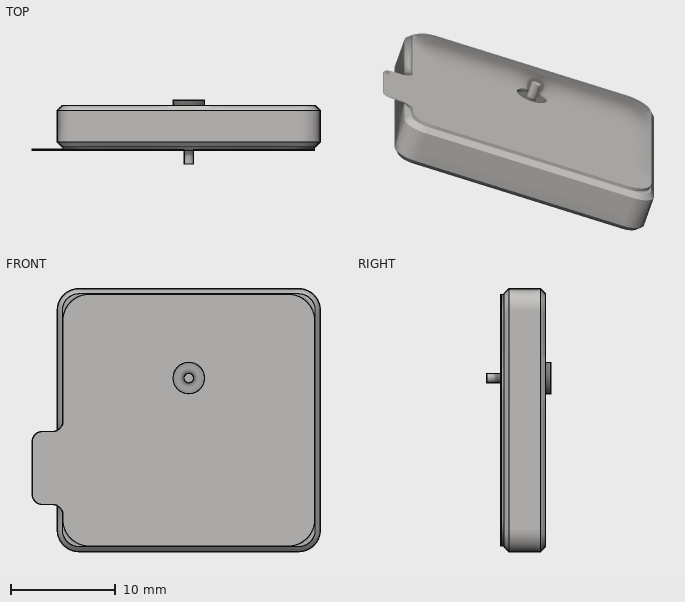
import cadquery as cq


block_side = 25.1
block_depth = 4.0
block_corner_radius = 2.1
block_chamfer = 0.5

pad_side = 24.0
pad_corner_radius = 2.5
pad_height = 0.2
film_thickness = 0.1
opening_diameter = 3.0

overall_width = 27.5
tab_height = 6.98
tab_center_z = -4.56
tab_radius = 1.0

pin_z = 4.02
shaft_diameter = 0.9
shaft_projection = 1.32
head_diameter = 3.0
head_height = 0.5

pad_front_y = -pad_height
film_front_y = pad_front_y - film_thickness
shaft_end_y = film_front_y - shaft_projection
tab_end_x = block_side / 2 - overall_width
pad_left_x = -pad_side / 2


def front_plane(y):
    """Sketch plane at depth y, with local x along X, local y along Z, extruding toward -Y."""
    return cq.Workplane("XZ", origin=(0, y, 0))


def rounded_square(side, corner_radius, y, depth):
    """Square plate with rounded corners, running from y toward -Y."""
    return front_plane(y).rect(side, side).extrude(depth).edges("|Y").fillet(corner_radius)


def pin_cylinder(diameter, y, depth):
    """Cylinder on the pin axis, running from y toward -Y."""
    return front_plane(y).center(0, pin_z).circle(diameter / 2).extrude(depth)


def make_block():
    slab = rounded_square(block_side, block_corner_radius, block_depth, block_depth)
    slab = slab.faces("<Y or >Y").chamfer(block_chamfer)
    pad = rounded_square(pad_side, pad_corner_radius, 0, pad_height)
    pad_opening = pin_cylinder(opening_diameter, 0, pad_height)
    shaft_hole = pin_cylinder(shaft_diameter, block_depth, block_depth)
    return slab.union(pad.cut(pad_opening)).cut(shaft_hole)


def make_film():
    sheet = rounded_square(pad_side, pad_corner_radius, pad_front_y, film_thickness)

    tab_length = pad_left_x + pad_corner_radius - tab_end_x
    tab = (
        front_plane(pad_front_y)
        .center(tab_end_x + tab_length / 2, tab_center_z)
        .rect(tab_length, tab_height)
        .extrude(film_thickness)
        .edges("|Y and <X")
        .fillet(tab_radius)
    )
    film = sheet.union(tab)

    film_middle_y = pad_front_y - film_thickness / 2
    for side in (-1, 1):
        root = (pad_left_x, film_middle_y, tab_center_z + side * tab_height / 2)
        film = film.edges(cq.selectors.NearestToPointSelector(root)).fillet(tab_radius)

    return film.cut(pin_cylinder(opening_diameter, pad_front_y, film_thickness))


def make_pin():
    shaft = pin_cylinder(shaft_diameter, block_depth, block_depth - shaft_end_y)
    head = pin_cylinder(head_diameter, block_depth + head_height, head_height)
    return head.union(shaft)


block = make_block()
film = make_film()
pin = make_pin()

result = cq.Compound.makeCompound([block.val(), film.val(), pin.val()])